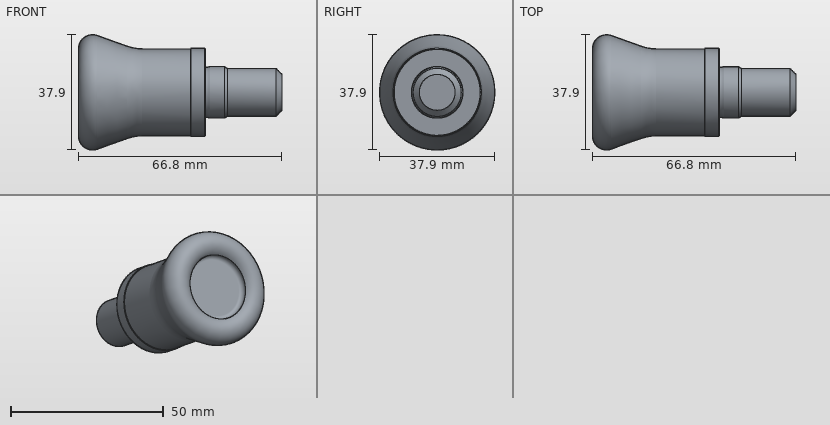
import cadquery as cq
import math

TOTAL_LENGTH = 66.8

RIM_OUTER_RADIUS = 37.9 / 2
RIM_ROUND_RADIUS = 4.7
FLARE_ANGLE = math.radians(19.7)
GRIP_RADIUS = 28.6 / 2
GRIP_BLEND_RADIUS = 14.7
KNOB_END = 36.75

RECESS_FLOOR_RADIUS = 9.4
RECESS_MOUTH_RADIUS = 10.7
RECESS_FILLET_RADIUS = 1.4

COLLAR_RADIUS = 29.0 / 2
COLLAR_END = 41.8
COLLAR_CHAMFER = 0.4
COLLAR_BACK_CHAMFER = COLLAR_RADIUS - GRIP_RADIUS
SHOULDER_RADIUS = 17.0 / 2
SHOULDER_START = 43.2
SHOULDER_END = 47.85
NECK_RADIUS = 8.3
NECK_END = 42.4
PIN_RADIUS = 15.8 / 2
PIN_START = 48.85
PIN_TIP_CHAMFER = 2.0


def revolve_about_x(profile):
    """Turn a closed profile, drawn as (x, radius), a full turn about the X axis."""
    return profile.close().revolve(360, (0, 0, 0), (1, 0, 0))


def arc_point(center, radius, angle):
    """Point on a circle, with the angle measured from the radial direction towards +X."""
    return (center[0] + radius * math.sin(angle), center[1] + radius * math.cos(angle))


def make_knob():
    rim_center = (RIM_ROUND_RADIUS, RIM_OUTER_RADIUS - RIM_ROUND_RADIUS)

    flare_start = arc_point(rim_center, RIM_ROUND_RADIUS, FLARE_ANGLE)
    flare_end_radius = GRIP_RADIUS + GRIP_BLEND_RADIUS * (1 - math.cos(FLARE_ANGLE))
    flare_end_x = flare_start[0] + (flare_start[1] - flare_end_radius) / math.tan(FLARE_ANGLE)
    blend_center = (
        flare_end_x + GRIP_BLEND_RADIUS * math.sin(FLARE_ANGLE),
        GRIP_RADIUS + GRIP_BLEND_RADIUS,
    )
    blend_middle = arc_point(blend_center, GRIP_BLEND_RADIUS, math.pi + FLARE_ANGLE / 2)

    wall_angle = math.asin((rim_center[1] - RECESS_MOUTH_RADIUS) / RIM_ROUND_RADIUS)
    mouth_angle = -math.pi / 2 - wall_angle
    recess_mouth = arc_point(rim_center, RIM_ROUND_RADIUS, mouth_angle)
    undercut_angle = math.acos((RECESS_MOUTH_RADIUS - RECESS_FLOOR_RADIUS) / RECESS_FILLET_RADIUS)
    fillet_center_x = recess_mouth[0] + RECESS_FILLET_RADIUS * math.sin(undercut_angle)
    fillet_center = (fillet_center_x, RECESS_FLOOR_RADIUS)
    floor_x = fillet_center_x + RECESS_FILLET_RADIUS
    fillet_middle = arc_point(fillet_center, RECESS_FILLET_RADIUS, math.pi / 4)

    rim_front = arc_point(rim_center, RIM_ROUND_RADIUS, -math.pi / 2)
    profile = (
        cq.Workplane("XY")
        .moveTo(floor_x, 0)
        .lineTo(floor_x, RECESS_FLOOR_RADIUS)
        .threePointArc(fillet_middle, recess_mouth)
        .threePointArc(rim_front, flare_start)
        .lineTo(flare_end_x, flare_end_radius)
        .threePointArc(blend_middle, (blend_center[0], GRIP_RADIUS))
        .lineTo(KNOB_END, GRIP_RADIUS)
        .lineTo(KNOB_END, 0)
    )
    return revolve_about_x(profile)


def make_plunger():
    profile = (
        cq.Workplane("XY")
        .moveTo(KNOB_END, 0)
        .lineTo(KNOB_END, COLLAR_RADIUS - COLLAR_BACK_CHAMFER)
        .lineTo(KNOB_END + COLLAR_BACK_CHAMFER, COLLAR_RADIUS)
        .lineTo(COLLAR_END - COLLAR_CHAMFER, COLLAR_RADIUS)
        .lineTo(COLLAR_END, COLLAR_RADIUS - COLLAR_CHAMFER)
        .lineTo(COLLAR_END, NECK_RADIUS)
        .lineTo(NECK_END, NECK_RADIUS)
        .lineTo(SHOULDER_START, SHOULDER_RADIUS)
        .lineTo(SHOULDER_END, SHOULDER_RADIUS)
        .lineTo(PIN_START, PIN_RADIUS)
        .lineTo(TOTAL_LENGTH - PIN_TIP_CHAMFER, PIN_RADIUS)
        .lineTo(TOTAL_LENGTH, PIN_RADIUS - PIN_TIP_CHAMFER)
        .lineTo(TOTAL_LENGTH, 0)
    )
    return revolve_about_x(profile)


knob = make_knob()
plunger = make_plunger()
result = cq.Compound.makeCompound([knob.val(), plunger.val()])